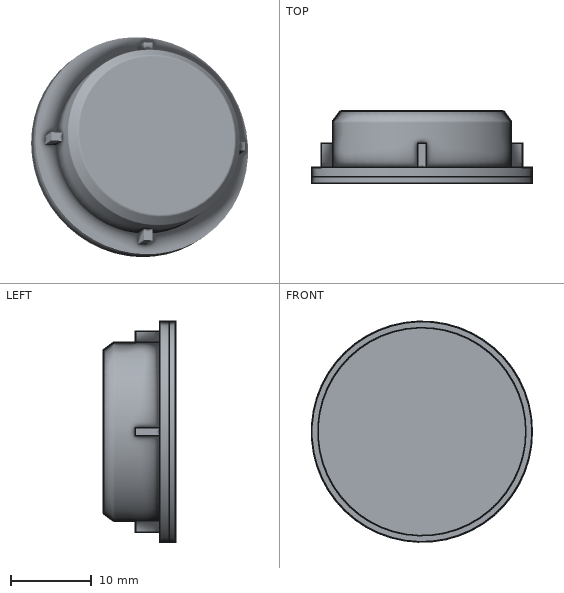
import cadquery as cq

flange_diameter = 27.4
flange_back = 2.0
ring_depth = 0.82
ring_bore_diameter = 25.8

total_depth = 9.0
plug_diameter = 22.2
chamfer_width = 0.95
chamfer_length = 1.32
edge_radius = 0.3

rib_count = 4
rib_width = 1.05
rib_tip_radius = 12.5
rib_back = 5.01
rib_root_radius = 0.9 * plug_diameter / 2


def make_rib(angle):
    """Radial rib standing on the back of the flange and merging into the plug."""
    rib = cq.Workplane("XY").box(
        rib_tip_radius - rib_root_radius,
        rib_back - ring_depth,
        rib_width,
        centered=(False, False, True),
    )
    rib = rib.translate((rib_root_radius, ring_depth, 0))
    return rib.rotate((0, 0, 0), (0, 1, 0), angle)


def make_plug():
    """Round plug with its flange, front boss, rounded chamfer and ribs."""
    flange_radius = flange_diameter / 2
    boss_radius = ring_bore_diameter / 2
    plug_radius = plug_diameter / 2
    end_radius = plug_radius - chamfer_width
    chamfer_start = total_depth - chamfer_length
    profile = [
        (0, 0),
        (boss_radius, 0),
        (boss_radius, ring_depth),
        (flange_radius, ring_depth),
        (flange_radius, flange_back),
        (plug_radius, flange_back),
        (plug_radius, chamfer_start),
        (end_radius, total_depth),
        (0, total_depth),
    ]
    plug = cq.Workplane("XY").polyline(profile).close().revolve(360, (0, 0, 0), (0, 1, 0))
    chamfer_edges = cq.selectors.BoxSelector(
        (-plug_radius, chamfer_start - edge_radius, -plug_radius),
        (plug_radius, total_depth + edge_radius, plug_radius),
        boundingbox=False,
    )
    plug = plug.edges("%CIRCLE").edges(chamfer_edges).fillet(edge_radius)
    for index in range(rib_count):
        plug = plug.union(make_rib(index * 360 / rib_count))
    return plug


def make_ring():
    """Flat ring around the front boss, flush with the boss and the flange rim."""
    outline = cq.Workplane("XZ").circle(flange_diameter / 2).circle(ring_bore_diameter / 2)
    return outline.extrude(-ring_depth)


plug = make_plug()
ring = make_ring()

result = cq.Compound.makeCompound([plug.val(), ring.val()])